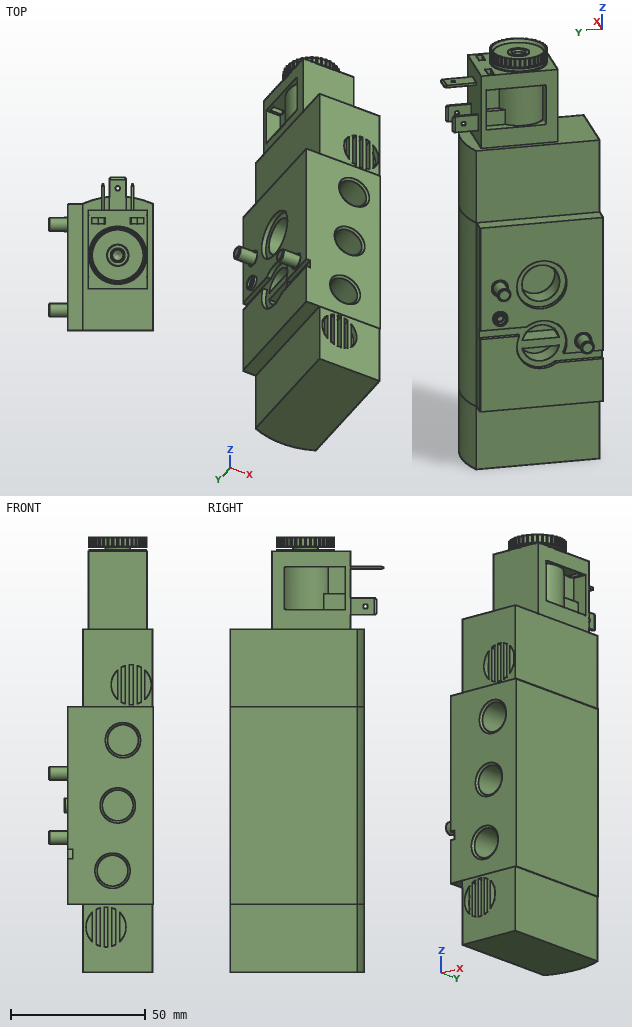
import cadquery as cq
import math


CAP_TOP = 25.3
BODY_TOP = 99.0
HOUSING_TOP = 128.0
COIL_TOP = 157.0
KNOB_BOTTOM = 158.5
KNOB_TOP = 162.2

BODY_WIDTH = 32.0
BODY_SHOULDER_Y = 47.2
BODY_CORNER_CHAMFER = 0.3
END_LEFT = 5.7
END_RIGHT = 31.6
END_SIDE_Y = 47.3
CROWN_Y = 50.1
CENTRE_X = (END_LEFT + END_RIGHT) / 2

BODY_MIDDLE_Z = (CAP_TOP + BODY_TOP) / 2
FRONT_PORT_PITCH = 24.3
FRONT_PORT_SHIFT = 2.0
FRONT_PORT_DIAMETER = 11.5
FRONT_PORT_CHAMFER = 0.8
FRONT_PORT_DEPTH = 16.2
SIDE_PORT_Y = 23.5
SIDE_PORT_DIAMETER = 14.5
SIDE_PORT_PITCH = 24.0
SIDE_PORT_DEPTH = 9.7
SEAL_DIAMETER = 19.1
SEAL_DEPTH = 1.8
UPPER_PORT_Z = BODY_MIDDLE_Z + SIDE_PORT_PITCH / 2
LOWER_PORT_Z = BODY_MIDDLE_Z - SIDE_PORT_PITCH / 2
BAR_THICKNESS = 3.2
SEAL_GROOVE_WIDTH = 3.4
REAR_GROOVE_Z = 56.1
FRONT_GROOVE_Z = 44.1

PIN_DIAMETER = 5.0
PIN_LENGTH = 7.1
PIN_CHAMFER = 0.5
PIN_RELIEF_DIAMETER = 6.3
PIN_RELIEF_DEPTH = 0.5
REAR_PIN_Y = 39.5
FRONT_PIN_Y = 7.6
STUD_DIAMETER = 5.5
STUD_LENGTH = 1.3
STUD_CHAMFER = 0.3
STUD_HOLE_DIAMETER = 2.5
STUD_SINK_DIAMETER = 3.7

VENT_DIAMETER = 14.9
VENT_PITCH = 2.9
VENT_DEPTH = 2.5
CAP_VENT = (14.3, 16.9)
HOUSING_VENT = (23.7, 107.2)

COIL_WIDTH = 21.9
COIL_FRONT = 15.5
COIL_REAR = 44.9
AXIS_Y = 28.0
WINDOW_BOTTOM = 135.2
WINDOW_TOP = 151.1
WINDOW_FRONT = 20.1
WINDOW_REAR = 43.0
WINDOW_DEPTH = 6.0
WINDOW_CORNER = 0.6
WINDING_RADIUS = 9.9
BLOCK_DEPTH = 3.7
BLOCK_FRONT = 34.7
BLOCK_TOP = 141.0
SLOT_LENGTH = 5.0
SLOT_WIDTH = 2.3
SLOT_Y = 40.9
SLOT_OFFSET = 7.1
SEAT_DIAMETER = 21.4
SEAT_HEIGHT = 0.5

BLADE_WIDTH = 6.3
BLADE_THICKNESS = 1.0
BLADE_CHAMFER = 0.6
BLADE_BEVEL_LENGTH = 1.0
BLADE_TIP_THICKNESS = 0.3
BLADE_HOLE = 1.6
BLADE_HOLE_INSET = 4.2
UPPER_BLADE_TIP = 57.2
UPPER_BLADE_Z = 150.8
LOWER_BLADE_TIP = 54.6
LOWER_BLADE_Z = 136.4
LOWER_BLADE_OFFSET = 5.5

KNOB_DIAMETER = 21.5
KNOB_NECK_DIAMETER = 9.4
KNOB_DISH_MOUTH_DIAMETER = 20.3
KNOB_DISH_FLOOR_DIAMETER = 19.0
KNOB_DISH_DEPTH = 1.3
KNURL_COUNT = 36
KNURL_WIDTH = 1.3
KNURL_DEPTH = 0.3
KNURL_FLOOR = 158.9
TUBE_DIAMETER = 8.1
TUBE_CHAMFER = 0.2
TUBE_MOUTH_DIAMETER = 5.4
TUBE_HOLE_DIAMETER = 4.0
TUBE_HOLE_DEPTH = 3.2
DRILL_POINT_ANGLE = 118


def box(x, y, z):
    """Box between the given (low, high) limits along each axis."""
    size = (x[1] - x[0], y[1] - y[0], z[1] - z[0])
    return cq.Workplane("XY").box(*size, centered=False).translate((x[0], y[0], z[0]))


def upright_cylinder(diameter, bottom, top):
    """Cylinder on the coil axis."""
    plane = cq.Workplane("XY", origin=(CENTRE_X, AXIS_Y, bottom))
    return plane.circle(diameter / 2).extrude(top - bottom)


def downward_cone(top_diameter, bottom_diameter, top, depth):
    """Cone on the coil axis, reaching down from its top."""
    apex_direction = cq.Vector(0, 0, -1)
    start = cq.Vector(CENTRE_X, AXIS_Y, top)
    return cq.Solid.makeCone(top_diameter / 2, bottom_diameter / 2, depth, start, apex_direction)


def side_cylinder(diameter, y, z, start, end):
    """Cylinder along X between two x positions."""
    plane = cq.Workplane("YZ", origin=(start, y, z))
    return plane.circle(diameter / 2).extrude(end - start)


def front_port(x, z):
    """Blind bore with a chamfered mouth in the front face."""
    radius = FRONT_PORT_DIAMETER / 2
    profile = [
        (0, 0),
        (radius + FRONT_PORT_CHAMFER, 0),
        (radius, FRONT_PORT_CHAMFER),
        (radius, FRONT_PORT_DEPTH),
        (0, FRONT_PORT_DEPTH),
    ]
    return cq.Workplane("XY").polyline(profile).close().revolve(360, (0, 0), (0, 1)).translate((x, 0, z))


def seal_recess():
    """Seal rings around both side ports with grooves leading to the front and rear faces."""
    recess = side_cylinder(SEAL_DIAMETER, SIDE_PORT_Y, UPPER_PORT_Z, 0, SEAL_DEPTH)
    recess = recess.union(side_cylinder(SEAL_DIAMETER, SIDE_PORT_Y, LOWER_PORT_Z, 0, SEAL_DEPTH))
    half = SEAL_GROOVE_WIDTH / 2
    rear_z = (REAR_GROOVE_Z - half, REAR_GROOVE_Z + half)
    front_z = (FRONT_GROOVE_Z - half, FRONT_GROOVE_Z + half)
    recess = recess.union(box((0, SEAL_DEPTH), (SIDE_PORT_Y, CROWN_Y), rear_z))
    return recess.union(box((0, SEAL_DEPTH), (0, SIDE_PORT_Y), front_z))


def side_port_bores():
    """Two blind bores in the port face; a bar crosses the lower one."""
    upper = side_cylinder(SIDE_PORT_DIAMETER, SIDE_PORT_Y, UPPER_PORT_Z, 0, SIDE_PORT_DEPTH)
    lower = side_cylinder(SIDE_PORT_DIAMETER, SIDE_PORT_Y, LOWER_PORT_Z, 0, SIDE_PORT_DEPTH)
    bar_y = (SIDE_PORT_Y - SIDE_PORT_DIAMETER, SIDE_PORT_Y + SIDE_PORT_DIAMETER)
    bar_z = (LOWER_PORT_Z - BAR_THICKNESS / 2, LOWER_PORT_Z + BAR_THICKNESS / 2)
    return upper.union(lower.cut(box((0, SIDE_PORT_DEPTH), bar_y, bar_z)))


def make_body():
    outline = (
        cq.Workplane("XY", origin=(0, 0, CAP_TOP))
        .lineTo(BODY_WIDTH, 0)
        .lineTo(BODY_WIDTH, END_SIDE_Y)
        .lineTo(END_RIGHT, END_SIDE_Y)
        .threePointArc((CENTRE_X, CROWN_Y), (END_LEFT, END_SIDE_Y))
        .lineTo(END_LEFT, BODY_SHOULDER_Y)
        .lineTo(BODY_CORNER_CHAMFER, BODY_SHOULDER_Y)
        .lineTo(0, BODY_SHOULDER_Y - BODY_CORNER_CHAMFER)
        .close()
    )
    body = outline.extrude(BODY_TOP - CAP_TOP)
    for step in (-1, 0, 1):
        port_x = CENTRE_X + step * FRONT_PORT_SHIFT
        body = body.cut(front_port(port_x, BODY_MIDDLE_Z + step * FRONT_PORT_PITCH))
    body = body.cut(seal_recess()).cut(side_port_bores())
    for y, z in ((REAR_PIN_Y, UPPER_PORT_Z), (FRONT_PIN_Y, LOWER_PORT_Z)):
        body = body.cut(side_cylinder(PIN_RELIEF_DIAMETER, y, z, 0, PIN_RELIEF_DEPTH))
        pin = side_cylinder(PIN_DIAMETER, y, z, -PIN_LENGTH, SEAL_DEPTH)
        body = body.union(pin.faces("<X").chamfer(PIN_CHAMFER))
    return body.union(make_stud())


def make_stud():
    """Short stud with a countersunk blind hole."""
    stud = side_cylinder(STUD_DIAMETER, REAR_PIN_Y, BODY_MIDDLE_Z, -STUD_LENGTH, SEAL_DEPTH)
    stud = stud.faces("<X").chamfer(STUD_CHAMFER)
    hole = side_cylinder(STUD_HOLE_DIAMETER, REAR_PIN_Y, BODY_MIDDLE_Z, -STUD_LENGTH, 0)
    sink = cq.Solid.makeCone(
        STUD_SINK_DIAMETER / 2,
        STUD_HOLE_DIAMETER / 2,
        (STUD_SINK_DIAMETER - STUD_HOLE_DIAMETER) / 2,
        cq.Vector(-STUD_LENGTH, REAR_PIN_Y, BODY_MIDDLE_Z),
        cq.Vector(1, 0, 0),
    )
    return stud.cut(hole).cut(sink)


def vent(x, z):
    """Round vent split into upright slots by four ribs."""
    slots = cq.Workplane("XZ", origin=(x, 0, z)).circle(VENT_DIAMETER / 2).extrude(-VENT_DEPTH)
    rib_width = VENT_PITCH / 2
    for step in (-1.5, -0.5, 0.5, 1.5):
        left = x + step * VENT_PITCH - rib_width / 2
        slots = slots.cut(
            box((left, left + rib_width), (0, VENT_DEPTH), (z - VENT_DIAMETER, z + VENT_DIAMETER))
        )
    return slots


def end_part(bottom, top, vent_centre):
    """Block with a crowned rear face and a front vent."""
    block = (
        cq.Workplane("XY", origin=(0, 0, bottom))
        .moveTo(END_LEFT, 0)
        .lineTo(END_RIGHT, 0)
        .lineTo(END_RIGHT, END_SIDE_Y)
        .threePointArc((CENTRE_X, CROWN_Y), (END_LEFT, END_SIDE_Y))
        .close()
        .extrude(top - bottom)
    )
    return block.cut(vent(*vent_centre))


def blade(tip_y, z):
    """Flat terminal at the coil centre, with a bevelled tip and a hole."""
    length = tip_y - COIL_REAR
    plate = cq.Workplane("XY").box(BLADE_WIDTH, length, BLADE_THICKNESS)
    plate = plate.edges("|Z and >Y").chamfer(BLADE_CHAMFER)
    bevelled_side = [
        (-length / 2, -BLADE_THICKNESS / 2),
        (length / 2 - BLADE_BEVEL_LENGTH, -BLADE_THICKNESS / 2),
        (length / 2, -BLADE_TIP_THICKNESS / 2),
        (length / 2, BLADE_TIP_THICKNESS / 2),
        (length / 2 - BLADE_BEVEL_LENGTH, BLADE_THICKNESS / 2),
        (-length / 2, BLADE_THICKNESS / 2),
    ]
    side = cq.Workplane("YZ").polyline(bevelled_side).close()
    plate = plate.intersect(side.extrude(BLADE_WIDTH, both=True))
    plate = plate.faces(">Z").workplane().center(0, length / 2 - BLADE_HOLE_INSET).hole(BLADE_HOLE)
    return plate.translate((CENTRE_X, COIL_REAR + length / 2, z))


def coil_window():
    """Side window around the winding, with a block in its lower rear corner and a slot above."""
    left = CENTRE_X - COIL_WIDTH / 2
    window_z = (WINDOW_BOTTOM, WINDOW_TOP)
    window = box((left, left + WINDOW_DEPTH), (WINDOW_FRONT, WINDOW_REAR), window_z)
    window = window.edges("|X and <Y").fillet(WINDOW_CORNER)
    window = window.cut(upright_cylinder(2 * WINDING_RADIUS, WINDOW_BOTTOM, WINDOW_TOP))
    block_x = (left + BLOCK_DEPTH, left + WINDOW_DEPTH)
    window = window.cut(box(block_x, (BLOCK_FRONT, WINDOW_REAR), (WINDOW_BOTTOM, BLOCK_TOP)))
    slot_x = CENTRE_X - SLOT_OFFSET
    slot = box(
        (slot_x - SLOT_LENGTH / 2, slot_x + SLOT_LENGTH / 2),
        (SLOT_Y - SLOT_WIDTH / 2, SLOT_Y + SLOT_WIDTH / 2),
        (WINDOW_TOP, COIL_TOP),
    )
    return window.union(slot)


def make_coil():
    left = CENTRE_X - COIL_WIDTH / 2
    coil = box((left, left + COIL_WIDTH), (COIL_FRONT, COIL_REAR), (HOUSING_TOP, COIL_TOP))
    window = coil_window()
    coil = coil.cut(window).cut(window.mirror("YZ", (CENTRE_X, 0, 0)))
    coil = coil.union(blade(UPPER_BLADE_TIP, UPPER_BLADE_Z))
    axis_start = (CENTRE_X, 0, LOWER_BLADE_Z)
    axis_end = (CENTRE_X, 1, LOWER_BLADE_Z)
    upright_blade = blade(LOWER_BLADE_TIP, LOWER_BLADE_Z).rotate(axis_start, axis_end, 90)
    for side in (-1, 1):
        coil = coil.union(upright_blade.translate((side * LOWER_BLADE_OFFSET, 0, 0)))
    coil = coil.union(upright_cylinder(SEAT_DIAMETER, COIL_TOP, COIL_TOP + SEAT_HEIGHT))
    return coil.cut(upright_cylinder(TUBE_DIAMETER, HOUSING_TOP, KNOB_BOTTOM))


def make_knob():
    """Knurled nut with a dished top, a neck below and a bore for the core tube."""
    knob = upright_cylinder(KNOB_DIAMETER, KNOB_BOTTOM, KNOB_TOP)
    knob = knob.union(upright_cylinder(KNOB_NECK_DIAMETER, COIL_TOP + SEAT_HEIGHT, KNOB_BOTTOM))
    dish = downward_cone(KNOB_DISH_MOUTH_DIAMETER, KNOB_DISH_FLOOR_DIAMETER, KNOB_TOP, KNOB_DISH_DEPTH)
    knob = knob.cut(dish)
    knob = knob.cut(upright_cylinder(TUBE_DIAMETER, COIL_TOP, KNOB_TOP))
    grooves = (
        cq.Workplane("XY", origin=(CENTRE_X, AXIS_Y, KNURL_FLOOR))
        .polarArray(KNOB_DIAMETER / 2, 180 / KNURL_COUNT, 360, KNURL_COUNT)
        .rect(2 * KNURL_DEPTH, KNURL_WIDTH)
        .extrude(KNOB_TOP - KNURL_FLOOR)
    )
    return knob.cut(grooves)


def make_core_tube():
    """Tube through coil and knob, with a countersunk drilled hole in its top."""
    top = KNOB_TOP - KNOB_DISH_DEPTH
    hole_floor = top - TUBE_HOLE_DEPTH
    sink_depth = (TUBE_MOUTH_DIAMETER - TUBE_HOLE_DIAMETER) / 2
    point_depth = TUBE_HOLE_DIAMETER / 2 / math.tan(math.radians(DRILL_POINT_ANGLE / 2))
    tube = upright_cylinder(TUBE_DIAMETER, HOUSING_TOP, top).faces(">Z").chamfer(TUBE_CHAMFER)
    tube = tube.cut(downward_cone(TUBE_MOUTH_DIAMETER, TUBE_HOLE_DIAMETER, top, sink_depth))
    tube = tube.cut(upright_cylinder(TUBE_HOLE_DIAMETER, hole_floor, top))
    return tube.cut(downward_cone(TUBE_HOLE_DIAMETER, 0, hole_floor, point_depth))


body = make_body()
lower_cap = end_part(0, CAP_TOP, CAP_VENT)
upper_housing = end_part(BODY_TOP, HOUSING_TOP, HOUSING_VENT)
coil = make_coil()
knob = make_knob()
core_tube = make_core_tube()

result = cq.Compound.makeCompound(
    [body.val(), lower_cap.val(), upper_housing.val(), coil.val(), knob.val(), core_tube.val()]
)